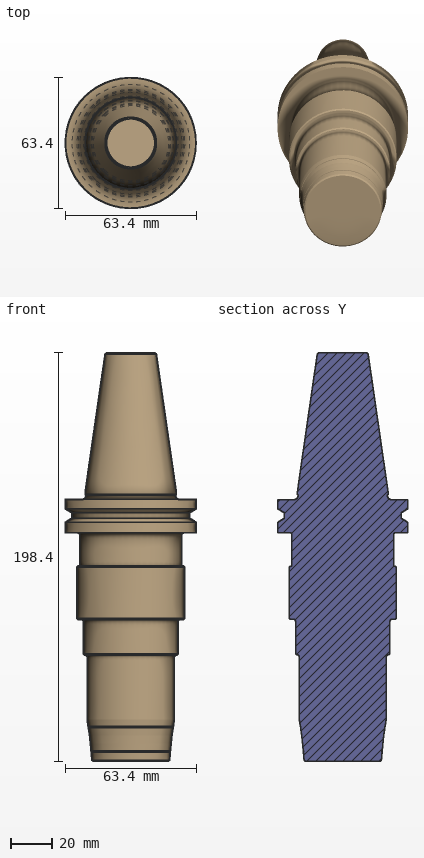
import cadquery as cq
import math

total_height = 198.4

nose_end_radius = 18.8
nose_end_chamfer = 0.5
nose_mid_radius = 20.0
nose_mid_height = 12.5
nose_low_radius = 19.6
nose_low_height = 8.5
nose_top_height = 20.2
groove_heights = (4.8, 16.7)
groove_width = 0.5
groove_depth = 0.2

barrel_radius = 21.2
shoulder_radius = 23.0
shoulder_height = 51.5
collar_radius = 26.2
collar_height = 68.8
neck_radius = 24.8
neck_height = 94.8
step_chamfer = 0.5
step_fillet = 1.0
collar_top_chamfer = 0.5

flange_radius = 31.7
flange_bottom = 111.0
flange_top = 127.2
flange_fillet = 1.0
v_root_radius = 28.5
v_bottom = 116.0
v_top = 122.6
v_flank_height = 2.0

gauge_radius = 22.2
gauge_height = 130.3
gauge_land = 0.8
relief_slope_height = 0.4
relief_radius = 21.8
relief_fillet = 1.8
shank_top_radius = 12.5
shank_top_chamfer = 0.8


def fillet_middle(radius, height, size, side):
    """Point halfway round an inside fillet; side is +1 above a face, -1 below it."""
    inset = size * (1 - math.sqrt(0.5))
    return (radius + inset, height + side * inset)


def step_up(profile, lower_radius, upper_radius, height):
    """Step out from a thinner section with an inside fillet and a chamfered edge."""
    return (
        profile.lineTo(lower_radius, height - step_fillet)
        .threePointArc(
            fillet_middle(lower_radius, height, step_fillet, -1),
            (lower_radius + step_fillet, height),
        )
        .lineTo(upper_radius - step_chamfer, height)
        .lineTo(upper_radius, height + step_chamfer)
    )


def nose_radius_at(height):
    """Radius of the nose cone at a height beside one of its grooves."""
    if height < nose_low_height:
        share = height / nose_low_height
        return nose_end_radius + share * (nose_low_radius - nose_end_radius)
    share = (height - nose_mid_height) / (nose_top_height - nose_mid_height)
    return nose_mid_radius + share * (barrel_radius - nose_mid_radius)


def groove_ring(height):
    """Ring whose inner wall is the floor of a nose groove."""
    floor_radius = nose_radius_at(height) - groove_depth
    return (
        cq.Workplane("XY")
        .workplane(offset=height - groove_width / 2)
        .circle(flange_radius)
        .circle(floor_radius)
        .extrude(groove_width)
    )


profile = (
    cq.Workplane("XZ")
    .lineTo(nose_end_radius - nose_end_chamfer, 0)
    .lineTo(nose_radius_at(nose_end_chamfer), nose_end_chamfer)
    .lineTo(nose_low_radius, nose_low_height)
    .lineTo(nose_mid_radius, nose_mid_height)
    .lineTo(barrel_radius, nose_top_height)
)
profile = step_up(profile, barrel_radius, shoulder_radius, shoulder_height)
profile = step_up(profile, shoulder_radius, collar_radius, collar_height)

profile = (
    profile.lineTo(collar_radius, neck_height - collar_top_chamfer)
    .lineTo(collar_radius - collar_top_chamfer, neck_height)
    .lineTo(neck_radius, neck_height)
    .lineTo(neck_radius, flange_bottom - flange_fillet)
    .threePointArc(
        fillet_middle(neck_radius, flange_bottom, flange_fillet, -1),
        (neck_radius + flange_fillet, flange_bottom),
    )
    .lineTo(flange_radius, flange_bottom)
    .lineTo(flange_radius, v_bottom)
    .lineTo(v_root_radius, v_bottom + v_flank_height)
    .lineTo(v_root_radius, v_top - v_flank_height)
    .lineTo(flange_radius, v_top)
    .lineTo(flange_radius, flange_top)
)

profile = (
    profile.lineTo(relief_radius + relief_fillet, flange_top)
    .threePointArc(
        fillet_middle(relief_radius, flange_top, relief_fillet, 1),
        (relief_radius, flange_top + relief_fillet),
    )
    .lineTo(relief_radius, gauge_height - gauge_land - relief_slope_height)
    .lineTo(gauge_radius, gauge_height - gauge_land)
    .lineTo(gauge_radius, gauge_height)
    .lineTo(shank_top_radius, total_height - shank_top_chamfer)
    .lineTo(shank_top_radius - shank_top_chamfer, total_height)
    .lineTo(0, total_height)
    .close()
)

result = profile.revolve(360, (0, 0, 0), (0, 1, 0))
for groove_height in groove_heights:
    result = result.cut(groove_ring(groove_height))